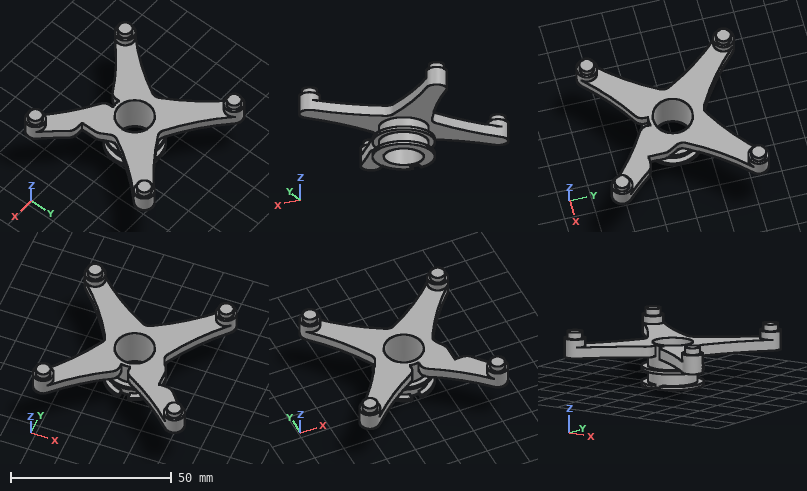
import math

import cadquery as cq

flange_thickness = 1.0
upper_flange_z = 5.0
plate_z = 10.0
plate_thickness = 3.5
plate_top_z = plate_z + plate_thickness
post_top_z = 16.0
pin_top_z = 18.1

bore_diameter = 12.5
hub_diameter = 15.5
flange_diameter = 19.5
key_slot_width = 3.0

post_offset = 22.0
post_diameter = 6.5
pin_diameter = 4.7

arm_edge_radius = 82.3
edge_round = 3.0

relief_x = 12.5
relief_y = -11.0
relief_round = 4.0

diagonal = math.sqrt(0.5)
tip_shift = diagonal * post_diameter / 2
tip_near = post_offset - tip_shift
tip_far = post_offset + tip_shift
arc_shift = diagonal * (post_diameter / 2 + arm_edge_radius)
arc_center_along = arc_shift - post_offset
arc_center_out = arc_shift + post_offset


def edge_distance(along):
    """Distance of an arm edge from the hub axis, at a distance along that side."""
    run = arc_center_along + along
    return arc_center_out - math.sqrt(arm_edge_radius**2 - run**2)


def edge_position(distance):
    """Distance along a side at which the arm edge is this far from the hub axis."""
    rise = arc_center_out - distance
    return math.sqrt(arm_edge_radius**2 - rise**2) - arc_center_along


def cylinder(diameter, bottom, top):
    return cq.Workplane("XY").workplane(offset=bottom).circle(diameter / 2).extrude(top - bottom)


def block(x_min, x_max, y_min, y_max, bottom, top):
    size = (x_max - x_min, y_max - y_min, top - bottom)
    return cq.Workplane("XY").box(*size, centered=False).translate((x_min, y_min, bottom))


def round_upright_edge(body, x, y, radius):
    middle = (x, y, plate_z + plate_thickness / 2)
    return body.edges("|Z").edges(cq.NearestToPointSelector(middle)).fillet(radius)


def make_star():
    """Four-armed plate with sharp corners between the arms."""
    middle = tip_near / 2
    side = [
        (-tip_near, tip_far),
        (-middle, edge_distance(middle)),
        (0, edge_distance(0)),
        (middle, edge_distance(middle)),
        (tip_near, tip_far),
    ]
    outline = cq.Workplane("XY").workplane(offset=plate_z).moveTo(*side[0])
    for quarter_turns in range(4):
        points = side
        for _ in range(quarter_turns):
            points = [(y, -x) for x, y in points]
        start, left_mid, corner, right_mid, end = points
        if quarter_turns > 0:
            outline = outline.lineTo(*start)
        outline = outline.threePointArc(left_mid, corner).threePointArc(right_mid, end)
    return outline.close().extrude(plate_thickness)


def make_plate():
    """Star plate with rounded waists, the key slot and the relief."""
    plate = make_star()
    waist = edge_distance(0)
    for x, y in [(0, waist), (waist, 0), (-waist, 0)]:
        plate = round_upright_edge(plate, x, y, edge_round)

    half_slot = key_slot_width / 2
    plate = plate.cut(block(-half_slot, half_slot, -post_offset, -bore_diameter / 2, plate_z, plate_top_z))
    for x in (-half_slot, half_slot):
        plate = round_upright_edge(plate, x, -edge_distance(half_slot), edge_round)

    plate = plate.cut(block(relief_x, post_offset, relief_y, 0, plate_z, plate_top_z))
    plate = round_upright_edge(plate, relief_x, -edge_position(relief_x), relief_round)
    return round_upright_edge(plate, edge_distance(-relief_y), relief_y, relief_round)


def make_hub():
    """Spool core and flanges; the key slot notches the bottom flange on the -Y side."""
    slot = block(
        -key_slot_width / 2, key_slot_width / 2,
        -flange_diameter, 0,
        0, flange_thickness,
    )
    bottom_flange = cylinder(flange_diameter, 0, flange_thickness).cut(slot)
    upper_flange = cylinder(flange_diameter, upper_flange_z, upper_flange_z + flange_thickness)
    return cylinder(hub_diameter, 0, plate_top_z).union(bottom_flange).union(upper_flange)


def make_post(x, y):
    post = cylinder(post_diameter, plate_z, post_top_z)
    return post.union(cylinder(pin_diameter, post_top_z, pin_top_z)).translate((x, y, 0))


result = make_plate().union(make_hub())
for post_x in (-post_offset, post_offset):
    for post_y in (-post_offset, post_offset):
        result = result.union(make_post(post_x, post_y))
result = result.cut(cylinder(bore_diameter, 0, plate_top_z))